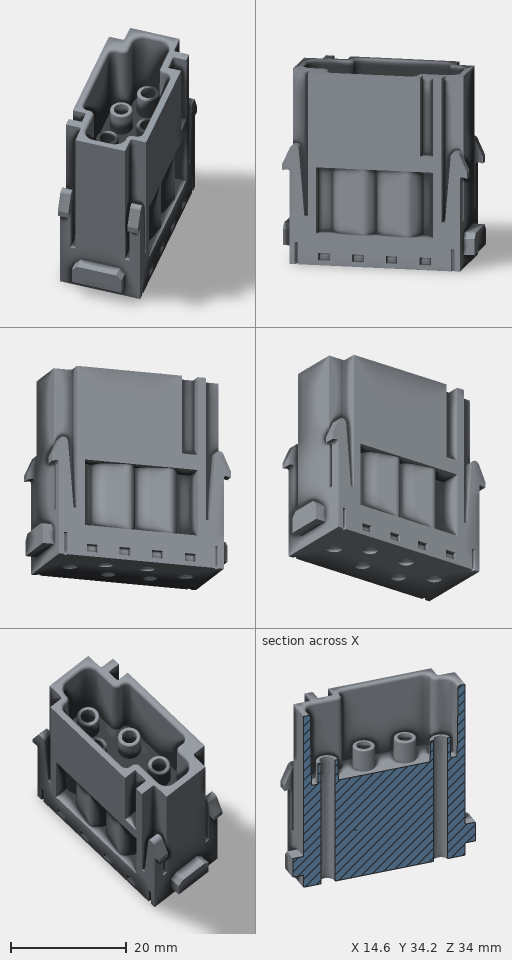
import cadquery as cq

WIDTH = 14.6
TOTAL_LENGTH = 34.2
BODY_LENGTH = 30.2
HEIGHT = 34.0
HALF_WIDTH = WIDTH / 2
HALF_BODY = BODY_LENGTH / 2

NOTCH_X = 4.5
NOTCH_Y = 11.85
NOTCH_FLOOR = 8.5
NOTCH_RADIUS = 0.45

ARM_ROOT_Z = 6.15
ARM_WIDTH = 1.9
ARM_FOOT_Y = 12.45
ARM_SHOULDER_Z = 20.42
ARM_SHOULDER_Y = 13.47
ARM_TIP_Z = 21.07
BARB_Y = 16.38
BARB_TOP_Z = 17.65
BARB_BOTTOM_Z = 16.52
BARB_ROOT_Z = 16.28
BARB_ROOT_RADIUS = 0.45
ARM_EDGE_RADIUS = 0.4

KEY_BOTTOM = 2.43
KEY_TOP = 6.22
KEY_CHAMFER = 0.95
FRONT_KEY_WIDTH = 2 * NOTCH_X
BACK_KEY_WIDTH = 6.98

CAVITY_FLOOR = 20.0
DRAFT = 0.9
CAVITY_X = 6.02
CAVITY_Y = 13.78
NECK_X = 3.6
BACK_LEFT_NECK_X = 3.05
BACK_LEFT_STEP_Y = 8.85
BACK_RIGHT_STEP_Y = 6.22
FRONT_LEFT_STEP_Y = 6.9
FRONT_RIGHT_STEP_Y = 10.67
END_RADIUS = 2.0
SIDE_RADIUS = 1.13
STEP_RADIUS = 1.03
RIM_RADIUS = 0.5

SOCKET_CENTRES = [(0.3, 10.5), (-2.8, 5.05), (-2.8, -2.65)]
SOCKET_DIAMETER = 4.0
SOCKET_HEIGHT = 4.1
SOCKET_ROUNDING = 0.25
CONTACT_HOLE = 2.6

CODING_FLOOR_X = 4.92
LEFT_CODING_Y = (-10.33, -8.05)
RIGHT_CODING_Y = (7.45, 10.33)

WINDOW_HALF_LENGTH = 10.35
WINDOW_BOTTOM = 5.55
WINDOW_TOP = 17.3
WINDOW_FLOOR_X = -3.42
BACK_RADIUS = 3.42
BELLY_RADIUS = 5.15
FLAT_START = 0.65
FLAT_END = -2.55
NOSE_END = -3.65

RECESS_Y = (-9.0, -2.98, 2.98, 9.0)
RECESS_LENGTH = 2.02
RECESS_BOTTOM = 0.82
RECESS_HEIGHT = 1.37
RECESS_DEPTH = 0.9
CATCH_LENGTH = 1.55
CATCH_BOTTOM = 0.95
CATCH_EDGE_Z = 1.6
CATCH_DEPTH = 0.35
FOOT_SLOT_INNER_Y = 13.55
FOOT_SLOT_OUTER_Y = 14.15
FOOT_SLOT_TAPER = 0.17
FOOT_SLOT_HEIGHT = 3.95
FOOT_SLOT_DEPTH = 0.5


def box(x_range, y_range, z_range):
    """Axis-aligned block spanning the given ranges."""
    (x0, x1), (y0, y1), (z0, z1) = x_range, y_range, z_range
    return cq.Workplane("XY").box(x1 - x0, y1 - y0, z1 - z0, centered=False).translate((x0, y0, z0))


def half_turn(shape):
    return shape.rotate((0, 0, 0), (0, 0, 1), 180)


def at_four_corners(shape):
    """The shape at +X +Y, together with its mirror images in the other corners."""
    pair = shape.union(shape.mirror("YZ"))
    return pair.union(pair.mirror("XZ"))


def corner_notch():
    notch = box((NOTCH_X, HALF_WIDTH), (NOTCH_Y, HALF_BODY), (NOTCH_FLOOR, HEIGHT))
    return notch.edges("|Z and <X and <Y").fillet(NOTCH_RADIUS)


def latch_arm():
    tip_y = (ARM_SHOULDER_Y + HALF_BODY) / 2
    bend = BARB_ROOT_RADIUS * (1 - 0.5 ** 0.5)
    profile = (
        cq.Workplane("YZ")
        .moveTo(HALF_BODY, ARM_ROOT_Z)
        .lineTo(ARM_FOOT_Y, ARM_ROOT_Z)
        .lineTo(ARM_FOOT_Y, NOTCH_FLOOR)
        .lineTo(ARM_SHOULDER_Y, ARM_SHOULDER_Z)
        .threePointArc((tip_y, ARM_TIP_Z), (HALF_BODY, ARM_SHOULDER_Z))
        .lineTo(BARB_Y, BARB_TOP_Z)
        .lineTo(BARB_Y, BARB_BOTTOM_Z)
        .lineTo(HALF_BODY + BARB_ROOT_RADIUS, BARB_ROOT_Z + BARB_ROOT_RADIUS)
        .threePointArc((HALF_BODY + bend, BARB_ROOT_Z + BARB_ROOT_RADIUS - bend), (HALF_BODY, BARB_ROOT_Z))
        .close()
    )
    arm = profile.extrude(ARM_WIDTH)
    lean = (ARM_SHOULDER_Y - ARM_FOOT_Y) / (ARM_SHOULDER_Z - NOTCH_FLOOR)
    rounded_bar = (
        cq.Workplane("YZ")
        .moveTo(ARM_FOOT_Y - lean * NOTCH_FLOOR, 0)
        .lineTo(ARM_FOOT_Y + lean * (HEIGHT - NOTCH_FLOOR), HEIGHT)
        .lineTo(BODY_LENGTH, HEIGHT)
        .lineTo(BODY_LENGTH, 0)
        .close()
        .extrude(ARM_WIDTH)
    )
    inner_edge = cq.selectors.NearestToPointSelector((0, ARM_FOOT_Y, HEIGHT / 2))
    rounded_bar = rounded_bar.edges(inner_edge).fillet(ARM_EDGE_RADIUS)
    return arm.intersect(rounded_bar).translate((HALF_WIDTH - ARM_WIDTH, 0, 0))


def end_key(width, y_range):
    key = box((-width / 2, width / 2), y_range, (KEY_BOTTOM, KEY_TOP))
    return key.edges("|Y and >Z").chamfer(KEY_CHAMFER)


def round_corners(solid, corners, radius):
    """Fillet the vertical edges standing at the given XY corners."""
    reach = 0.05
    for x, y in corners:
        low = (x - reach, y - reach, 0)
        high = (x + reach, y + reach, 2 * HEIGHT)
        solid = solid.edges(cq.selectors.BoxSelector(low, high)).fillet(radius)
    return solid


def mating_cavity():
    back_ends = [(-BACK_LEFT_NECK_X, CAVITY_Y), (NECK_X, CAVITY_Y)]
    front_ends = [(NECK_X, -CAVITY_Y), (-NECK_X, -CAVITY_Y)]
    right_steps = [(NECK_X, BACK_RIGHT_STEP_Y), (NECK_X, -FRONT_RIGHT_STEP_Y)]
    right_sides = [(CAVITY_X, BACK_RIGHT_STEP_Y), (CAVITY_X, -FRONT_RIGHT_STEP_Y)]
    left_steps = [(-NECK_X, -FRONT_LEFT_STEP_Y), (-BACK_LEFT_NECK_X, BACK_LEFT_STEP_Y)]
    left_sides = [(-CAVITY_X, -FRONT_LEFT_STEP_Y), (-CAVITY_X, BACK_LEFT_STEP_Y)]
    outline = back_ends + [right_steps[0]] + right_sides + [right_steps[1]]
    outline += front_ends + [left_steps[0]] + left_sides + [left_steps[1]]
    cavity = cq.Workplane("XY", origin=(0, 0, HEIGHT)).polyline(outline).close()
    cavity = cavity.extrude(CAVITY_FLOOR - HEIGHT)
    cavity = round_corners(cavity, back_ends + front_ends, END_RADIUS)
    cavity = round_corners(cavity, right_sides + left_sides, SIDE_RADIUS)
    cavity = round_corners(cavity, right_steps + left_steps, STEP_RADIUS)
    top_outline = cavity.faces(">Z").wires().toPending()
    return top_outline.extrude(CAVITY_FLOOR - HEIGHT, taper=DRAFT, combine=False)


def sockets():
    half = (
        cq.Workplane("XY", origin=(0, 0, CAVITY_FLOOR))
        .pushPoints(SOCKET_CENTRES)
        .circle(SOCKET_DIAMETER / 2)
        .extrude(SOCKET_HEIGHT, taper=DRAFT)
        .faces(">Z").edges().fillet(SOCKET_ROUNDING)
    )
    return half.union(half_turn(half))


def contact_holes():
    half = cq.Workplane("XY").pushPoints(SOCKET_CENTRES).circle(CONTACT_HOLE / 2).extrude(HEIGHT)
    return half.union(half_turn(half))


def socket_wall(centre):
    """Material around one socket: a round back, a sloping flat, a nose and a round front."""
    x, y = centre
    half_root = 0.5 ** 0.5
    flat_x = x - (BACK_RADIUS ** 2 - FLAT_START ** 2) ** 0.5
    flat_slope = FLAT_START / (x - flat_x)
    nose_x = flat_x - (FLAT_START - FLAT_END) * flat_slope
    nose_end_x = x - (BELLY_RADIUS ** 2 - NOSE_END ** 2) ** 0.5
    belly_middle_x = x - BELLY_RADIUS / 2
    belly_middle_y = y - BELLY_RADIUS * 0.75 ** 0.5
    return (
        cq.Workplane("XY", origin=(0, 0, WINDOW_BOTTOM))
        .moveTo(x, y + BACK_RADIUS)
        .threePointArc((x - BACK_RADIUS * half_root, y + BACK_RADIUS * half_root), (flat_x, y + FLAT_START))
        .lineTo(nose_x, y + FLAT_END)
        .tangentArcPoint((nose_end_x, y + NOSE_END), relative=False)
        .threePointArc((belly_middle_x, belly_middle_y), (x, y - BELLY_RADIUS))
        .close()
        .extrude(WINDOW_TOP - WINDOW_BOTTOM)
    )


def side_window():
    """Recess in the -X side that leaves the socket walls standing."""
    end_socket, *side_sockets = SOCKET_CENTRES
    y_range = (-WINDOW_HALF_LENGTH, WINDOW_HALF_LENGTH)
    window = box((-HALF_WIDTH, WINDOW_FLOOR_X), y_range, (WINDOW_BOTTOM, WINDOW_TOP))
    window = window.cut(cq.Workplane("XY").center(*end_socket).circle(BELLY_RADIUS).extrude(HEIGHT))
    for centre in side_sockets:
        window = window.cut(socket_wall(centre))
    return window


def foot_recess(y):
    """Recess in the -X side, centred on y, with a sloping catch left on its back wall."""
    back = -HALF_WIDTH + RECESS_DEPTH
    top = RECESS_BOTTOM + RECESS_HEIGHT
    y_range = (y - RECESS_LENGTH / 2, y + RECESS_LENGTH / 2)
    catch = (
        cq.Workplane("XZ")
        .polyline([
            (back, CATCH_BOTTOM),
            (back - CATCH_DEPTH, CATCH_BOTTOM),
            (back - CATCH_DEPTH, CATCH_EDGE_Z),
            (back, top),
        ])
        .close()
        .extrude(CATCH_LENGTH / 2, both=True)
        .translate((0, y, 0))
    )
    return box((-HALF_WIDTH, back), y_range, (RECESS_BOTTOM, top)).cut(catch)


def foot_slot():
    floor_x = HALF_WIDTH - FOOT_SLOT_DEPTH
    outline = [
        (HALF_WIDTH, FOOT_SLOT_INNER_Y),
        (HALF_WIDTH, FOOT_SLOT_OUTER_Y),
        (floor_x, FOOT_SLOT_OUTER_Y - FOOT_SLOT_TAPER),
        (floor_x, FOOT_SLOT_INNER_Y),
    ]
    return cq.Workplane("XY").polyline(outline).close().extrude(FOOT_SLOT_HEIGHT)


body = box((-HALF_WIDTH, HALF_WIDTH), (-HALF_BODY, HALF_BODY), (0, HEIGHT))
body = body.cut(mating_cavity())
body = body.faces(">Z").wires(cq.selectors.LengthNthSelector(0)).fillet(RIM_RADIUS)
body = body.cut(at_four_corners(corner_notch())).union(at_four_corners(latch_arm()))

body = body.union(end_key(FRONT_KEY_WIDTH, (-TOTAL_LENGTH / 2, -HALF_BODY)))
body = body.union(end_key(BACK_KEY_WIDTH, (HALF_BODY, TOTAL_LENGTH / 2)))
body = body.union(sockets()).cut(contact_holes())

coding_z = (CAVITY_FLOOR, HEIGHT)
body = body.cut(box((-HALF_WIDTH, -CODING_FLOOR_X), LEFT_CODING_Y, coding_z))
body = body.cut(box((CODING_FLOOR_X, HALF_WIDTH), RIGHT_CODING_Y, coding_z))
for cutter in [side_window()] + [foot_recess(y) for y in RECESS_Y]:
    body = body.cut(cutter).cut(half_turn(cutter))
result = body.cut(at_four_corners(foot_slot()))